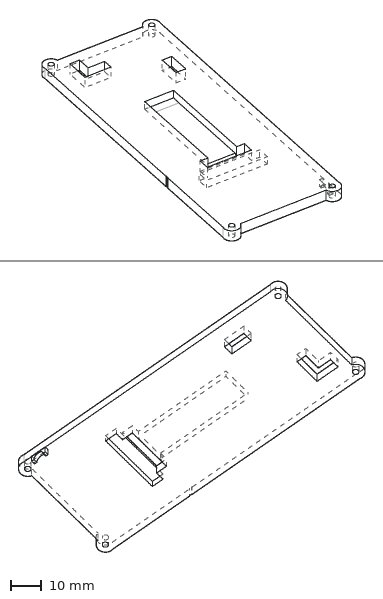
import cadquery as cq

total_length = 112.2
total_width = 45.2
plate_length = 107.7
plate_width = 45.0
plate_thickness = 4.2

ear_radius = 3.0
ear_hole_diameter = 2.0
ear_x = total_length / 2 - ear_radius
ear_y = total_width / 2 - ear_radius

window_length = 8.2
window_width = 3.7
window_x = -31.0
window_y = 13.6

ell_length = 8.9
ell_height = 10.1
ell_foot_width = 3.7
ell_stem_width = 3.7
ell_right = -41.1
ell_bottom = -14.4

slot_length = 4.2
slot_width = 17.2
slot_left = 18.0

recess_width = 11.2
recess_left = -19.2
recess_depth = 3.1
ramp_length = 3.1
ramp_drop = 0.1
floor_chamfer = 0.9

relief_length = 4.5
relief_width = 23.6
relief_roof = 1.2

groove_left = 18.9
groove_width = 1.0
groove_depth = 0.1

tab_length = 5.7
tab_thickness = 1.5
tab_height = 2.8
tab_x = 46.0
notch_radius = 1.9
notch_center_z = -2.7


def box(left, bottom, base, length, width, height):
    """Box placed by its lowest X, Y and Z corner."""
    return cq.Workplane("XY").box(length, width, height, centered=False).translate((left, bottom, base))


def through_window(left, bottom, length, width):
    return box(left, bottom, 0, length, width, plate_thickness)


def make_plate():
    plate = through_window(-plate_length / 2, -plate_width / 2, plate_length, plate_width)
    ear_centers = [(x, y) for x in (-ear_x, ear_x) for y in (-ear_y, ear_y)]
    ears = cq.Workplane("XY").pushPoints(ear_centers).circle(ear_radius).extrude(plate_thickness)
    holes = cq.Workplane("XY").pushPoints(ear_centers).circle(ear_hole_diameter / 2).extrude(plate_thickness)
    return plate.union(ears).cut(holes)


def make_ell_window():
    foot = through_window(ell_right - ell_length, ell_bottom, ell_length, ell_foot_width)
    stem = through_window(ell_right - ell_stem_width, ell_bottom, ell_stem_width, ell_height)
    return foot.union(stem)


def make_recess():
    floor_z = plate_thickness - recess_depth
    return (
        cq.Workplane("XZ")
        .moveTo(recess_left, plate_thickness)
        .lineTo(recess_left, floor_z + ramp_drop)
        .lineTo(recess_left + ramp_length, floor_z)
        .lineTo(slot_left - floor_chamfer, floor_z)
        .lineTo(slot_left, floor_z - floor_chamfer)
        .lineTo(slot_left, plate_thickness)
        .close()
        .extrude(recess_width / 2, both=True)
    )


def make_tab():
    tab_back = total_width / 2
    tab = box(tab_x - tab_length / 2, tab_back - tab_thickness, -tab_height, tab_length, tab_thickness, tab_height)
    notch_tool = (
        cq.Workplane("XZ", origin=(tab_x, tab_back, notch_center_z))
        .circle(notch_radius)
        .extrude(tab_thickness)
    )
    return tab.cut(notch_tool)


window = through_window(
    window_x - window_length / 2, window_y - window_width / 2, window_length, window_width
)
slot = through_window(slot_left, -slot_width / 2, slot_length, slot_width)
relief = box(
    slot_left + slot_length,
    -relief_width / 2,
    0,
    relief_length,
    relief_width,
    plate_thickness - relief_roof,
)
groove = through_window(groove_left, -plate_width / 2, groove_width, groove_depth)

result = make_plate().union(make_tab())
for cutout in (window, make_ell_window(), slot, make_recess(), relief, groove):
    result = result.cut(cutout)